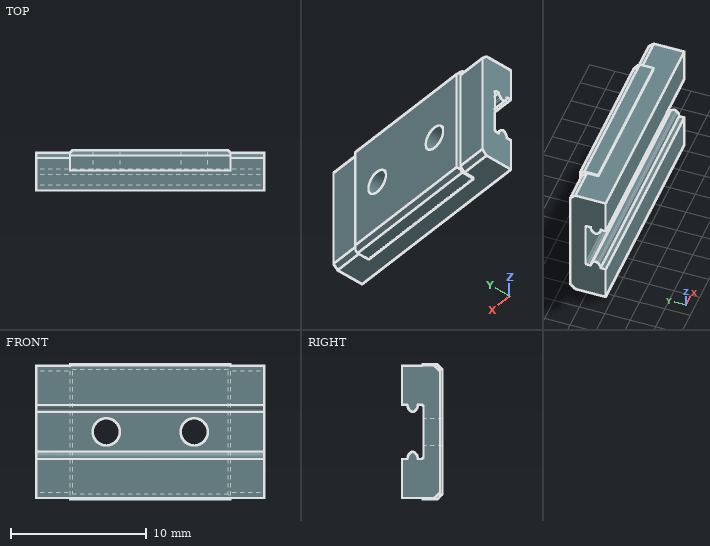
import cadquery as cq

length = 16.9
body_depth = 2.8
body_height = 9.8
edge_chamfer = 0.4

pad_length = 11.9
pad_raise_back = 0.2
pad_raise_side = 0.1
pad_front = 1.5
pad_corner = 0.2

channel_depth = 1.59
channel_height = 4.0
channel_corner_radius = 0.17
rail_center = 0.8
rail_width = 0.78
rail_shoulder = 0.24
rail_shoulder_radius = 0.49
rail_tip_radius = 0.22

hole_diameter = 2.0
hole_spacing = 6.5


def centered_bar(bar_length, front, back, height):
    """Box centred along X and Z, reaching from front to back along Y."""
    depth = back - front
    return cq.Workplane("XY").box(bar_length, depth, height).translate((length / 2, front + depth / 2, 0))


def make_body():
    return centered_bar(length, 0, body_depth, body_height).edges("|X and >Y").chamfer(edge_chamfer)


def make_pad():
    back = body_depth + pad_raise_back
    pad = centered_bar(pad_length, pad_front, back, body_height + 2 * pad_raise_side)
    pad = pad.edges("|Z and >Y").chamfer(pad_corner)
    bevel = centered_bar(length, pad_front, back, body_height + 2 * pad_raise_side)
    return pad.intersect(bevel.edges("|X and >Y").chamfer(edge_chamfer))


def make_channel():
    channel = centered_bar(length, 0, channel_depth, channel_height)
    return channel.edges("|X and >Y").fillet(channel_corner_radius)


def make_lower_rail():
    wall = -channel_height / 2
    half_width = rail_width / 2
    shoulder_z = wall + rail_shoulder
    apex_z = shoulder_z + half_width
    rail = (
        cq.Workplane("YZ")
        .moveTo(rail_center - half_width, wall)
        .lineTo(rail_center - half_width, shoulder_z)
        .lineTo(rail_center, apex_z)
        .lineTo(rail_center + half_width, shoulder_z)
        .lineTo(rail_center + half_width, wall)
        .close()
        .extrude(length)
    )
    rail = rail.edges("|X and >Z").fillet(rail_tip_radius)
    for side in (-1, 1):
        corner = (length / 2, rail_center + side * half_width, shoulder_z)
        rail = rail.edges(cq.NearestToPointSelector(corner)).fillet(rail_shoulder_radius)
    return rail


def make_holes():
    holes = cq.Workplane("XZ").pushPoints(
        [(length / 2 + side * hole_spacing / 2, 0) for side in (-1, 1)]
    )
    return holes.circle(hole_diameter / 2).extrude(-(body_depth + pad_raise_back))


lower_rail = make_lower_rail()
upper_rail = lower_rail.mirror("XY")

result = (
    make_body()
    .union(make_pad())
    .cut(make_channel())
    .union(lower_rail)
    .union(upper_rail)
    .cut(make_holes())
)